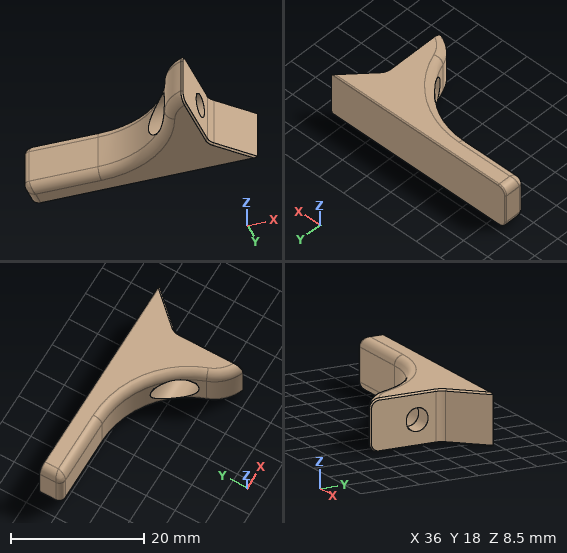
import cadquery as cq

length = 36.0
depth = 18.05
thickness = 8.5
arm_depth = 4.0
arm_length = 12.0
sweep_radius = 15.0
sweep_end_y = -13.95
wall_x = 30.4
knee_y = -6.0

corner_radius = 1.0
knee_radius = 2.0
rim_radius = 1.5
back_rim_radius = 0.2
right_rim_chamfer = 0.3

hole_y = -9.97
hole_diameter = 3.7
counterbore_diameter = 5.8
hole_seat_thickness = 3.0

sweep_center_y = -arm_depth - sweep_radius


def sweep_x(y):
    """X of the concave sweep at a given Y."""
    return arm_length + (sweep_radius**2 - (y - sweep_center_y) ** 2) ** 0.5


sweep_end = (sweep_x(sweep_end_y), sweep_end_y)
sweep_mid_y = (sweep_end_y - arm_depth) / 2
sweep_mid = (sweep_x(sweep_mid_y), sweep_mid_y)


def edges_near(body, points):
    """Edges of the body that pass through the given points."""
    found = []
    for point in points:
        vertex = cq.Vertex.makeVertex(*point)
        found.append(min(body.edges().vals(), key=lambda edge: edge.distance(vertex)))
    return body.newObject(found)


def make_profile():
    """Extruded outline with its upright corners rounded."""
    body = (
        cq.Workplane("XY", origin=(0, 0, -thickness / 2))
        .lineTo(0, -arm_depth)
        .lineTo(arm_length, -arm_depth)
        .threePointArc(sweep_mid, sweep_end)
        .tangentArcPoint((wall_x, -depth), relative=False)
        .lineTo(wall_x, knee_y)
        .lineTo(length, 0)
        .close()
        .extrude(thickness)
    )
    body = edges_near(body, [(0, -arm_depth, 0)]).fillet(corner_radius)
    return edges_near(body, [(wall_x, knee_y, 0)]).fillet(knee_radius)


def round_grip_rims(body):
    """Round the top and bottom rims from the left end to the toe."""
    rim_start = (0, -arm_depth / 2)
    points = [(*rim_start, side * thickness / 2) for side in (-1, 1)]
    return edges_near(body, points).fillet(rim_radius)


def round_back_rim(body):
    """Round the long back edges and the upright back edge of the left end."""
    points = [(0, 0, 0)]
    for side in (-1, 1):
        points.append((length / 2, 0, side * thickness / 2))
    return edges_near(body, points).fillet(back_rim_radius)


def chamfer_right_rim(body):
    """Chamfer the rims of the slope, knee and right wall, down to the toe."""
    wall_middle_y = (knee_y - depth) / 2
    points = [(wall_x, wall_middle_y, side * thickness / 2) for side in (-1, 1)]
    return edges_near(body, points).chamfer(right_rim_chamfer)


def cut_screw_hole(body):
    """Through hole along X, counterbored from the concave side."""
    plane = cq.Workplane("YZ").center(hole_y, 0)
    hole = plane.circle(hole_diameter / 2).extrude(length)
    counterbore = plane.circle(counterbore_diameter / 2).extrude(wall_x - hole_seat_thickness)
    return body.cut(hole).cut(counterbore)


lever = make_profile()
lever = round_grip_rims(lever)
lever = chamfer_right_rim(lever)
lever = round_back_rim(lever)
result = cut_screw_hole(lever)